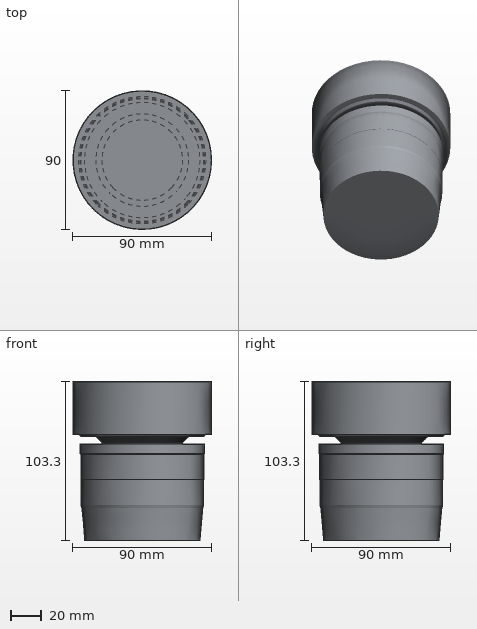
import cadquery as cq

total_height = 103.3
cap_bottom = 69.0
lip_bottom = 67.7
neck_top = 63.7
collar_top = 62.7
collar_bottom = 56.5
relief_top = 56.0
body_step = 39.7
body_bottom = 22.9
taper_top = 21.0

cap_diameter = 90.0
lip_top_diameter = 82.6
lip_bottom_diameter = 79.5
neck_diameter = 52.3
collar_diameter = 81.0
upper_body_diameter = 80.0
lower_body_diameter = 79.5
taper_top_diameter = 78.5
base_diameter = 74.9

flare_diameter = neck_diameter + 2 * (lip_bottom - neck_top)

outline = [
    (base_diameter, 0),
    (taper_top_diameter, taper_top),
    (lower_body_diameter, body_bottom),
    (lower_body_diameter, body_step),
    (upper_body_diameter, body_step),
    (upper_body_diameter, relief_top),
    (collar_diameter, collar_bottom),
    (collar_diameter, collar_top),
    (neck_diameter, collar_top),
    (neck_diameter, neck_top),
    (flare_diameter, lip_bottom),
    (lip_bottom_diameter, lip_bottom),
    (lip_top_diameter, cap_bottom),
    (cap_diameter, cap_bottom),
    (cap_diameter, total_height),
]

half_section = cq.Workplane("XZ").moveTo(0, 0)
for diameter, height in outline:
    half_section = half_section.lineTo(diameter / 2, height)
half_section = half_section.lineTo(0, total_height).close()

result = half_section.revolve(360, (0, 0, 0), (0, 1, 0))